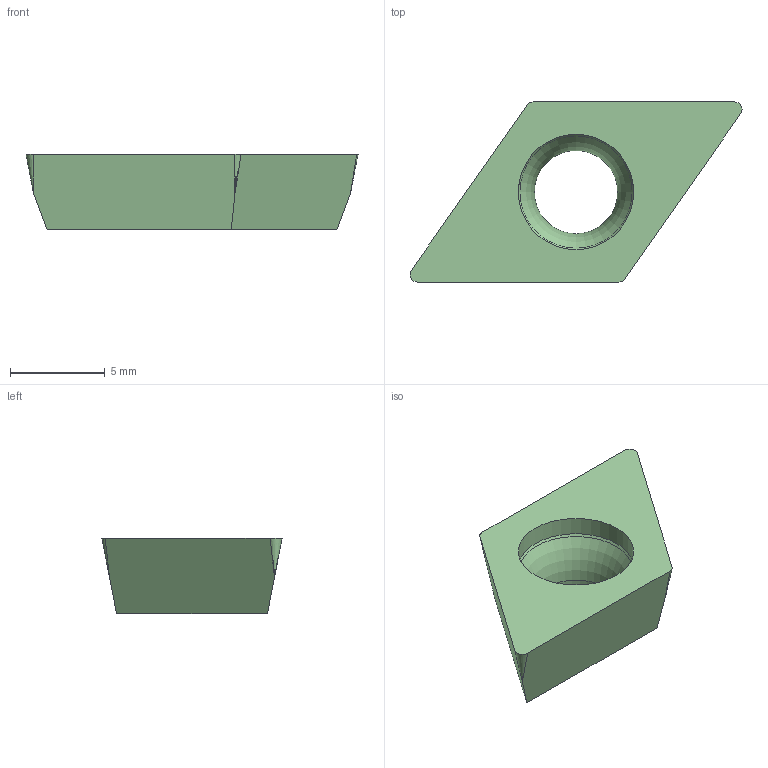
import cadquery as cq
import math

inscribed_diameter = 9.525
thickness = 3.97
point_angle = math.radians(55)
nose_radius = 0.4
clearance_angle = 11

bore_diameter = 4.4
recess_diameter = 6.1
recess_depth = 1.0
lip_width = 0.08
lip_height = 0.12
seat_bottom_depth = 3.4

nose_depth = nose_radius / math.tan(math.radians(clearance_angle))
waist_height = thickness - nose_depth
waist_width = inscribed_diameter - 2 * nose_radius


def make_waist_outline():
    """Sharp rhombus, two sides along X, at the height where the nose rounding ends."""
    side = waist_width / math.sin(point_angle)
    lean = side * math.cos(point_angle)
    half_long = (side + lean) / 2
    half_short = (side - lean) / 2
    half_width = waist_width / 2
    return (
        cq.Workplane("XY", origin=(0, 0, waist_height))
        .polyline([
            (-half_long, -half_width),
            (half_short, -half_width),
            (half_long, half_width),
            (-half_short, half_width),
        ])
        .close()
    )


def make_plate():
    """Plate with sloped walls: sharp corners below the waist, conical noses above it."""
    upper = make_waist_outline().extrude(nose_depth, taper=-clearance_angle)
    lower = make_waist_outline().extrude(-waist_height, taper=clearance_angle)
    return upper.union(lower)


def make_screw_hole():
    """Cutter: through bore, trumpet-shaped seat tangent to it, narrow lip and top recess."""
    bore_radius = bore_diameter / 2
    recess_radius = recess_diameter / 2
    recess_floor = thickness - recess_depth
    seat_top_radius = recess_radius - lip_width
    seat_top = recess_floor - lip_height
    seat_bottom = thickness - seat_bottom_depth
    return (
        cq.Workplane("XZ")
        .lineTo(bore_radius, 0)
        .lineTo(bore_radius, seat_bottom)
        .tangentArcPoint((seat_top_radius, seat_top), relative=False)
        .lineTo(recess_radius, recess_floor)
        .lineTo(recess_radius, thickness)
        .lineTo(0, thickness)
        .close()
        .revolve(360, (0, 0), (0, 1))
    )


result = make_plate().cut(make_screw_hole())